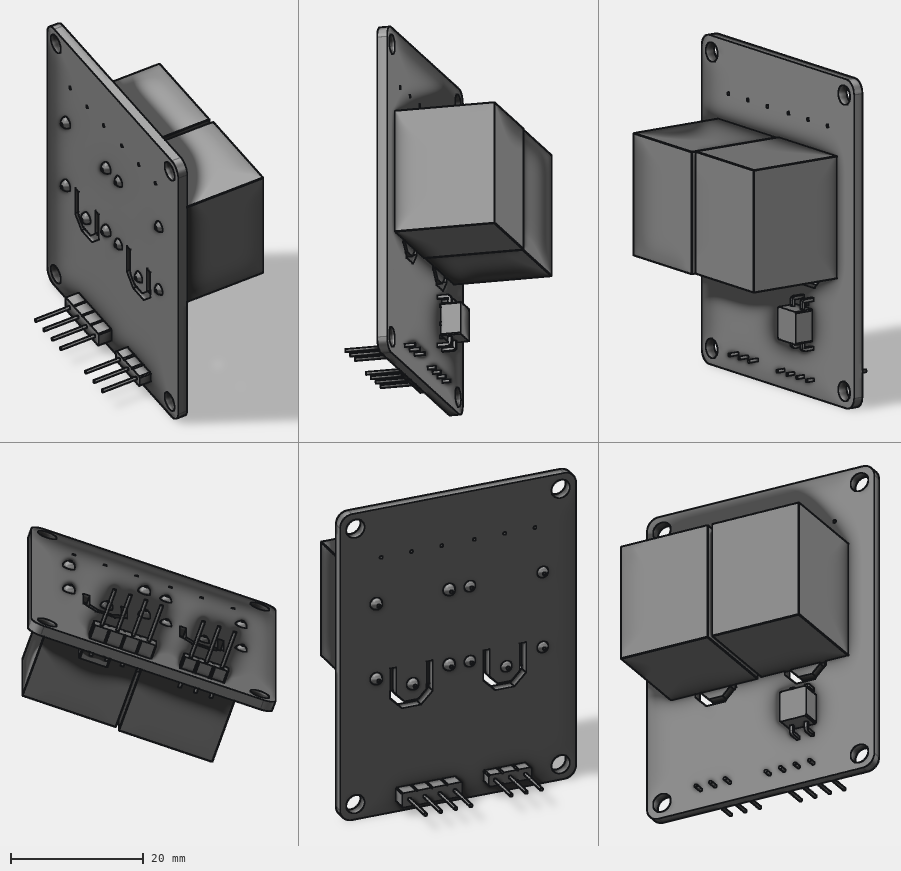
import cadquery as cq
import math


BOARD_WIDTH = 39.0
BOARD_HEIGHT = 51.0
BOARD_THICKNESS = 1.6
CORNER_RADIUS = 2.0
MOUNT_HOLE_DIAMETER = 3.0
MOUNT_HOLE_INSET = 2.55

LEAD_DIAMETER = 0.5

TERMINAL_PITCH = 5.0
TERMINAL_GROUP_X = 7.7
TERMINAL_Z = 17.35

SLOT_WIDTH = 1.0
SLOT_HALF_SPAN = 3.5
SLOT_CORNER = 1.95
SLOT_TOP_Z = -1.5
SLOT_BOTTOM_Z = -8.45
SLOT_CENTER_X = 7.7

OPTO_WIDTH = 4.6
OPTO_DEPTH = 3.1
OPTO_HEIGHT = 5.05
OPTO_STANDOFF = 0.8
OPTO_CENTER_X = -7.7
OPTO_CENTER_Z = -14.0
OPTO_CHAMFER = 0.2
LEG_THICKNESS = 0.5
LEG_PITCH = 2.5
LEG_ROW_SPAN = 8.05
LEG_OUTER_Y = 3.75
LEG_BEND_RADIUS = 0.6

LEAD_END_HEIGHT = 0.4
LEAD_END_ZS = (-11.2, -14.0, -16.1)

CASE_WIDTH = 15.0
CASE_DEPTH = 15.7
CASE_HEIGHT = 19.0
CASE_CHAMFER = 0.1
RELAY_SEAT_SHIFT = 0.3
LEFT_RELAY_PLACE = (-7.55, BOARD_THICKNESS - RELAY_SEAT_SHIFT, 3.6)
RIGHT_RELAY_PLACE = (7.95, BOARD_THICKNESS, 3.45)
SOLDER_RADIUS = 0.95
SOLDER_DEPTH = BOARD_THICKNESS - RELAY_SEAT_SHIFT
RELAY_PIN_TIP = 1.0
RELAY_PIN_X = 6.0
RELAY_PIN_UPPER_Z = 6.2
RELAY_PIN_LOWER_Z = -6.25
COIL_PIN_Z = -8.3

HEADER_PIN_PITCH = 2.5
HEADER_PIN_LENGTH = 10.95
HEADER_BLOCK_DEPTH = 2.25
HEADER_PIN_FRONT = 5.9
INPUT_HEADER_PINS = 4
INPUT_HEADER_LENGTH = 9.95
INPUT_HEADER_HEIGHT = 2.4
INPUT_HEADER_NOTCH = 0.15
INPUT_HEADER_PLACE = (-5.3, 0, -22.7)
JUMPER_HEADER_PINS = 3
JUMPER_HEADER_LENGTH = 7.1
JUMPER_HEADER_HEIGHT = 1.95
JUMPER_HEADER_NOTCH = 0.2
JUMPER_HEADER_SEAT = 0.35
JUMPER_HEADER_PLACE = (7.75, JUMPER_HEADER_SEAT, -22.45)


def rod(x, z, y_start, y_end, diameter=LEAD_DIAMETER):
    """Round bar parallel to Y."""
    return (
        cq.Workplane("XZ", origin=(x, y_end, z))
        .circle(diameter / 2)
        .extrude(y_end - y_start)
    )


def slot_outline(half_span, bottom_z, corner):
    """Plate with its two lower corners cut at 45 degrees, through the board."""
    return (
        cq.Workplane("XZ")
        .moveTo(-half_span, SLOT_TOP_Z)
        .lineTo(-half_span, bottom_z + corner)
        .lineTo(-half_span + corner, bottom_z)
        .lineTo(half_span - corner, bottom_z)
        .lineTo(half_span, bottom_z + corner)
        .lineTo(half_span, SLOT_TOP_Z)
        .close()
        .extrude(-BOARD_THICKNESS)
    )


def isolation_slot(center_x):
    """U-shaped slot of constant width."""
    inner_corner = SLOT_CORNER - SLOT_WIDTH * (2 - math.sqrt(2))
    outer = slot_outline(SLOT_HALF_SPAN, SLOT_BOTTOM_Z, SLOT_CORNER)
    inner = slot_outline(SLOT_HALF_SPAN - SLOT_WIDTH, SLOT_BOTTOM_Z + SLOT_WIDTH, inner_corner)
    return outer.cut(inner).translate((center_x, 0, 0))


def bare_board():
    """Plate with mounting holes, terminal holes and isolation slots."""
    plate = (
        cq.Workplane("XZ")
        .rect(BOARD_WIDTH, BOARD_HEIGHT)
        .extrude(-BOARD_THICKNESS)
        .edges("|Y")
        .fillet(CORNER_RADIUS)
    )
    hole_x = BOARD_WIDTH / 2 - MOUNT_HOLE_INSET
    hole_z = BOARD_HEIGHT / 2 - MOUNT_HOLE_INSET
    for x in (-hole_x, hole_x):
        for z in (-hole_z, hole_z):
            plate = plate.cut(rod(x, z, 0, BOARD_THICKNESS, MOUNT_HOLE_DIAMETER))
    for group_x in (-TERMINAL_GROUP_X, TERMINAL_GROUP_X):
        for step in (-1, 0, 1):
            plate = plate.cut(rod(group_x + step * TERMINAL_PITCH, TERMINAL_Z, 0, BOARD_THICKNESS))
    for slot_x in (-SLOT_CENTER_X, SLOT_CENTER_X):
        plate = plate.cut(isolation_slot(slot_x))
    return plate


def optocoupler_leg_pair():
    """Upper and lower leg as one bent strip that passes through the package."""
    half_span = LEG_ROW_SPAN / 2
    strip_depth = LEG_OUTER_Y - BOARD_THICKNESS
    strip = (
        cq.Workplane("XY")
        .box(LEG_THICKNESS, strip_depth, LEG_ROW_SPAN, centered=(True, False, True))
        .edges("|X and >Y")
        .fillet(LEG_BEND_RADIUS)
    )
    opening = cq.Workplane("XY").box(
        LEG_THICKNESS,
        strip_depth - LEG_THICKNESS,
        2 * (half_span - LEG_THICKNESS),
        centered=(True, False, True),
    )
    return strip.cut(opening).translate((0, BOARD_THICKNESS, OPTO_CENTER_Z))


def optocoupler():
    """Package with four bent legs that stand on the board."""
    package = (
        cq.Workplane("XY")
        .box(OPTO_WIDTH, OPTO_DEPTH, OPTO_HEIGHT, centered=(True, False, True))
        .edges("|Y")
        .chamfer(OPTO_CHAMFER)
        .translate((0, BOARD_THICKNESS + OPTO_STANDOFF, OPTO_CENTER_Z))
    )
    for x in (-LEG_PITCH / 2, LEG_PITCH / 2):
        package = package.union(optocoupler_leg_pair().translate((x, 0, 0)))
    return package.translate((OPTO_CENTER_X, 0, 0))


def make_board():
    """Board with the optocoupler and the clipped lead ends soldered on."""
    board = bare_board().union(optocoupler())
    for z in LEAD_END_ZS:
        board = board.union(rod(OPTO_CENTER_X, z, BOARD_THICKNESS, BOARD_THICKNESS + LEAD_END_HEIGHT))
    return board


def soldered_pin(x, z):
    """Relay pin with a half-ball of solder around its end."""
    solder = (
        cq.Workplane("XY")
        .sphere(SOLDER_RADIUS, direct=(0, -1, 0), angle1=0, angle2=90)
        .translate((x, -SOLDER_DEPTH, z))
    )
    return solder.union(rod(x, z, -SOLDER_DEPTH - RELAY_PIN_TIP, 0))


def make_relay(place):
    """Relay case with five soldered pins; its seat is at local y = 0."""
    relay = (
        cq.Workplane("XY")
        .box(CASE_WIDTH, CASE_DEPTH, CASE_HEIGHT, centered=(True, False, True))
        .edges("|Y or >Y")
        .chamfer(CASE_CHAMFER)
    )
    for x in (-RELAY_PIN_X, RELAY_PIN_X):
        for z in (RELAY_PIN_LOWER_Z, RELAY_PIN_UPPER_Z):
            relay = relay.union(soldered_pin(x, z))
    relay = relay.union(soldered_pin(0, COIL_PIN_Z))
    return relay.translate(place)


def make_header(pin_count, length, height, notch, place):
    """Pin header: a block with V-notches between its pins; its back is at local y = 0."""
    header = (
        cq.Workplane("XZ")
        .rect(length, height)
        .extrude(HEADER_BLOCK_DEPTH)
        .edges("|Y")
        .chamfer(notch)
    )
    first_pin_x = -(pin_count - 1) * HEADER_PIN_PITCH / 2
    for gap in range(pin_count - 1):
        notch_x = first_pin_x + (gap + 0.5) * HEADER_PIN_PITCH
        for notch_z in (-height / 2, height / 2):
            header = header.cut(
                cq.Workplane("XZ", origin=(notch_x, 0, notch_z))
                .polygon(4, 2 * notch)
                .extrude(HEADER_BLOCK_DEPTH)
            )
    pin_tip = -HEADER_BLOCK_DEPTH - HEADER_PIN_FRONT
    for pin in range(pin_count):
        pin_x = first_pin_x + pin * HEADER_PIN_PITCH
        header = header.union(rod(pin_x, 0, pin_tip, pin_tip + HEADER_PIN_LENGTH))
    return header.translate(place)


relays = [make_relay(place) for place in (LEFT_RELAY_PLACE, RIGHT_RELAY_PLACE)]

input_header = make_header(
    INPUT_HEADER_PINS, INPUT_HEADER_LENGTH, INPUT_HEADER_HEIGHT, INPUT_HEADER_NOTCH, INPUT_HEADER_PLACE
)
jumper_header = make_header(
    JUMPER_HEADER_PINS, JUMPER_HEADER_LENGTH, JUMPER_HEADER_HEIGHT, JUMPER_HEADER_NOTCH, JUMPER_HEADER_PLACE
)

board = make_board()
for component in (*relays, input_header, jumper_header):
    board = board.cut(component)

result = cq.Compound.makeCompound([
    board.solids().val(),
    *[relay.solids().val() for relay in relays],
    input_header.solids().val(),
    jumper_header.solids().val(),
])